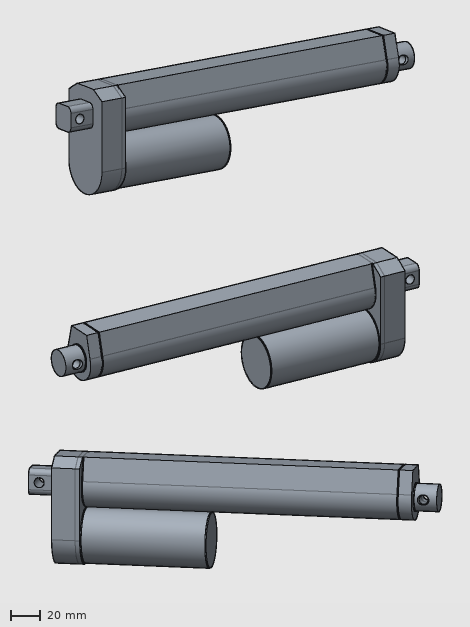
import cadquery as cq
import math


total_length = 283.5
gearbox_start = 18.1
gearbox_seam = 34.5
gearbox_end = 37.7
motor_end = 124.5
cap_start = 257.7
cap_end = 267.0
groove_width = 0.9
groove_depth = 0.9

gearbox_width = 40.0
gearbox_height = 76.3
top_flat_width = 19.5
gearbox_bevel_drop = 6.2
motor_axis_z = gearbox_width / 2 - gearbox_height

belly_radius = 15.0
belly_bottom_z = -36.3
belly_center_z = belly_bottom_z + belly_radius
side_bottom_z = -16.2

motor_diameter = 38.5
motor_step_diameter = 38.0
motor_step_length = 0.9

tongue_size = 18.1
tongue_axis_z = -19.3
tongue_corner_radius = 4.0
tongue_hole_y = 7.5
tongue_hole_diameter = 6.8

rod_axis_z = -20.5
rod_diameter = 19.0
collar_diameter = 19.8
collar_length = 0.9
rod_hole_y = 274.2
rod_hole_diameter = 6.2
rod_hole_chamfer = 0.9


def section_at(y):
    """Workplane across the part at y, with local axes X and Z."""
    return cq.Workplane("XZ", origin=(0, y, 0))


def cylinder(diameter, axis_z, y_start, y_end):
    """Round bar parallel to Y."""
    return section_at(y_start).center(0, axis_z).circle(diameter / 2).extrude(y_start - y_end)


def cross_hole(diameter, y, z):
    """Pin hole cutter running through the part along X."""
    return (
        cq.Workplane("YZ", origin=(0, y, z))
        .circle(diameter / 2)
        .extrude(gearbox_width / 2, both=True)
    )


def gearbox_block(y_start, y_end):
    half_width = gearbox_width / 2
    half_flat = top_flat_width / 2
    return (
        section_at(y_start)
        .moveTo(-half_flat, 0)
        .lineTo(half_flat, 0)
        .lineTo(half_width, -gearbox_bevel_drop)
        .lineTo(half_width, motor_axis_z)
        .threePointArc((0, -gearbox_height), (-half_width, motor_axis_z))
        .lineTo(-half_width, -gearbox_bevel_drop)
        .close()
        .extrude(y_start - y_end)
    )


def tube_section(y_start, y_end, inset=0.0):
    half_flat = top_flat_width / 2
    side_x = math.sqrt(belly_radius**2 - (side_bottom_z - belly_center_z) ** 2)
    outline = (
        section_at(y_start)
        .moveTo(-half_flat, 0)
        .lineTo(half_flat, 0)
        .lineTo(side_x, side_bottom_z)
        .threePointArc((0, belly_bottom_z), (-side_x, side_bottom_z))
        .close()
    )
    if inset:
        outline = outline.offset2D(-inset)
    return outline.extrude(y_start - y_end)


def make_tongue():
    tongue_section = section_at(0).center(0, tongue_axis_z)
    bar = tongue_section.rect(tongue_size, tongue_size).extrude(-gearbox_start)
    bar = bar.edges("|Y").fillet(tongue_corner_radius)
    return bar.cut(cross_hole(tongue_hole_diameter, tongue_hole_y, tongue_axis_z))


def make_rod():
    rod = cylinder(rod_diameter, rod_axis_z, cap_end, total_length)
    rod = rod.union(cylinder(collar_diameter, rod_axis_z, cap_end, cap_end + collar_length))
    rod = rod.cut(cross_hole(rod_hole_diameter, rod_hole_y, rod_axis_z))
    for side in (-1, 1):
        mouth_x = side * rod_diameter / 2
        countersink = cq.Solid.makeCone(
            rod_hole_diameter / 2 + rod_hole_chamfer,
            rod_hole_diameter / 2,
            2 * rod_hole_chamfer,
            pnt=cq.Vector(mouth_x, rod_hole_y, rod_axis_z),
            dir=cq.Vector(-side, 0, 0),
        )
        rod = rod.cut(cq.Workplane(countersink))
    return rod


def make_tube():
    tube_start = gearbox_end + groove_width
    tube_end = cap_start - groove_width
    core = tube_section(gearbox_end, cap_end, groove_depth)
    body = tube_section(tube_start, tube_end)
    cap = tube_section(cap_start, cap_end)
    neck = tube_section(gearbox_end, tube_start, groove_depth).translate((0, 0, groove_depth))
    return core.union(neck).union(body).union(cap)


def make_motor():
    body = cylinder(motor_diameter, motor_axis_z, gearbox_end + groove_width, motor_end)
    core = cylinder(motor_step_diameter, motor_axis_z, gearbox_end, motor_end + motor_step_length)
    return body.union(core)


gearbox = gearbox_block(gearbox_start, gearbox_seam)
cover = gearbox_block(gearbox_seam, gearbox_end)

result = gearbox.union(cover, clean=False)
for component in (make_tongue(), make_tube(), make_motor(), make_rod()):
    result = result.union(component, clean=False)